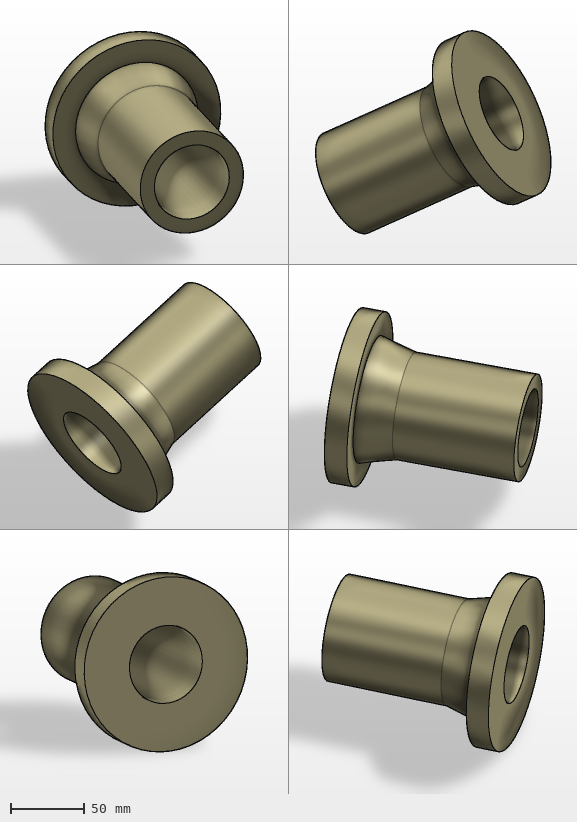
import cadquery as cq

total_length = 128.0
flange_diameter = 122.0
flange_thickness = 16.0
neck_root_diameter = 89.0
neck_length = 26.0
pipe_diameter = 75.0
bore_diameter = 54.4

flange_back = flange_thickness
neck_end = flange_back + neck_length

flange_radius = flange_diameter / 2
neck_root_radius = neck_root_diameter / 2
pipe_radius = pipe_diameter / 2
bore_radius = bore_diameter / 2


def stub_end():
    """Flange, tapered neck and pipe with a through bore, as one revolved wall section."""
    wall_section = (
        cq.Workplane("XZ")
        .moveTo(0, bore_radius)
        .lineTo(0, flange_radius)
        .lineTo(flange_back, flange_radius)
        .lineTo(flange_back, neck_root_radius)
        .lineTo(neck_end, pipe_radius)
        .lineTo(total_length, pipe_radius)
        .lineTo(total_length, bore_radius)
        .close()
    )
    return wall_section.revolve(360, (0, 0, 0), (1, 0, 0))


result = stub_end()